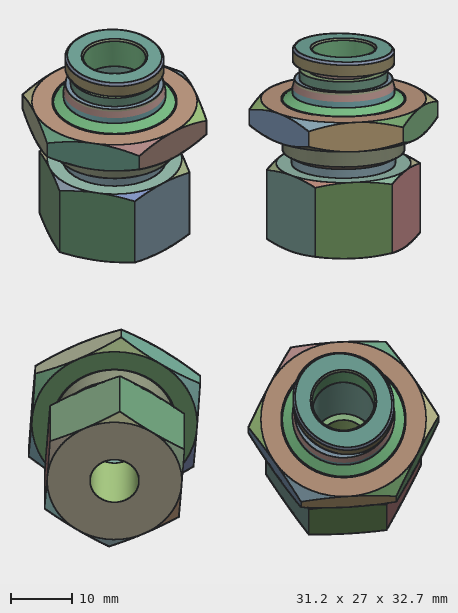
import cadquery as cq
import math

total_height = 32.7
body_hex_height = 13.0
nut_bottom = 19.0
nut_thickness = 5.0
nut_top = nut_bottom + nut_thickness
body_top = 29.05
hexagon_sides = 6

body_hex_flats = 22.0
body_hex_chamfer_angle = 20.0
undercut_diameter = 17.0
barrel_diameter = 20.0
barrel_chamfer_angle = 30.0
undercut_top = 14.5
shoulder_diameter = 16.7
shoulder_height = 1.0
band_diameter = 16.05
band_bottom = 27.0
band_top = 27.45
rim_diameter = 14.4
tube_bore_diameter = 10.15
tube_stop_height = body_hex_height
through_hole_diameter = 8.0

nut_flats = 27.0
nut_chamfer_angle = 30.0
nut_countersink = 0.2

flange_length = 17.45
flange_width = 16.05
flange_thickness = 2.4
flange_chamfer_inset = 0.36
flange_chamfer_height = 0.45
neck_diameter = 11.7
neck_bottom = 27.6
collet_bore_diameter = 10.2
collet_bore_chamfer = 0.3


def cone_height(large_diameter, small_diameter, angle):
    """Height of a cone between two diameters, angle measured from the horizontal."""
    return (large_diameter - small_diameter) / 2 * math.tan(math.radians(angle))


def cylinder(diameter, bottom, top):
    return cq.Workplane("XY").workplane(offset=bottom).circle(diameter / 2).extrude(top - bottom)


def chamfered_hexagon(flats, bottom, height, chamfer_angle):
    """Hexagon with corners along X, both ends turned to a cone that starts at the flats."""
    corners = flats / math.cos(math.pi / hexagon_sides)
    prism = cq.Workplane("XY").workplane(offset=bottom).polygon(hexagon_sides, corners).extrude(height)
    drop = cone_height(corners, flats, chamfer_angle)
    top = bottom + height
    turned_blank = (
        cq.Workplane("XZ")
        .polyline([
            (0, bottom),
            (flats / 2, bottom),
            (corners / 2, bottom + drop),
            (corners / 2, top - drop),
            (flats / 2, top),
            (0, top),
        ])
        .close()
        .revolve(360, (0, 0), (0, 1))
    )
    return prism.intersect(turned_blank)


def make_body():
    hexagon = chamfered_hexagon(body_hex_flats, 0, body_hex_height, body_hex_chamfer_angle)
    barrel_bottom = undercut_top + cone_height(barrel_diameter, undercut_diameter, barrel_chamfer_angle)
    shoulder_bottom = nut_top + cone_height(barrel_diameter, shoulder_diameter, barrel_chamfer_angle)
    turned_part = (
        cq.Workplane("XZ")
        .polyline([
            (0, body_hex_height),
            (undercut_diameter / 2, body_hex_height),
            (undercut_diameter / 2, undercut_top),
            (barrel_diameter / 2, barrel_bottom),
            (barrel_diameter / 2, nut_top),
            (shoulder_diameter / 2, shoulder_bottom),
            (shoulder_diameter / 2, shoulder_bottom + shoulder_height),
            (band_diameter / 2, band_bottom),
            (band_diameter / 2, band_top),
            (rim_diameter / 2, band_top),
            (rim_diameter / 2, body_top),
            (0, body_top),
        ])
        .close()
        .revolve(360, (0, 0), (0, 1))
    )
    return (
        hexagon.union(turned_part)
        .cut(cylinder(through_hole_diameter, 0, body_top))
        .cut(cylinder(tube_bore_diameter, tube_stop_height, body_top))
        .cut(cylinder(neck_diameter, neck_bottom, body_top))
    )


def make_nut():
    hexagon = chamfered_hexagon(nut_flats, nut_bottom, nut_thickness, nut_chamfer_angle)
    bored = hexagon.cut(cylinder(barrel_diameter, nut_bottom, nut_top))
    smallest_circles = cq.selectors.RadiusNthSelector(0)
    return bored.edges("%CIRCLE").edges(smallest_circles).chamfer(nut_countersink)


def make_collet():
    flange_bottom = total_height - flange_thickness
    chamfer_bottom = total_height - flange_chamfer_height
    straight_flange = (
        cq.Workplane("XY")
        .workplane(offset=flange_bottom)
        .ellipse(flange_length / 2, flange_width / 2)
        .extrude(flange_thickness - flange_chamfer_height)
    )
    chamfered_rim = (
        cq.Workplane("XY")
        .workplane(offset=chamfer_bottom)
        .ellipse(flange_length / 2, flange_width / 2)
        .workplane(offset=flange_chamfer_height)
        .ellipse(flange_length / 2 - flange_chamfer_inset, flange_width / 2 - flange_chamfer_inset)
        .loft(ruled=True)
    )
    neck = cylinder(neck_diameter, neck_bottom, flange_bottom)
    collet = (
        straight_flange.union(chamfered_rim)
        .union(neck)
        .cut(cylinder(collet_bore_diameter, neck_bottom, total_height))
    )
    return collet.faces(">Z").edges("%CIRCLE").chamfer(collet_bore_chamfer)


body = make_body()
nut = make_nut()
collet = make_collet()

result = cq.Compound.makeCompound([body.val(), nut.val(), collet.val()])